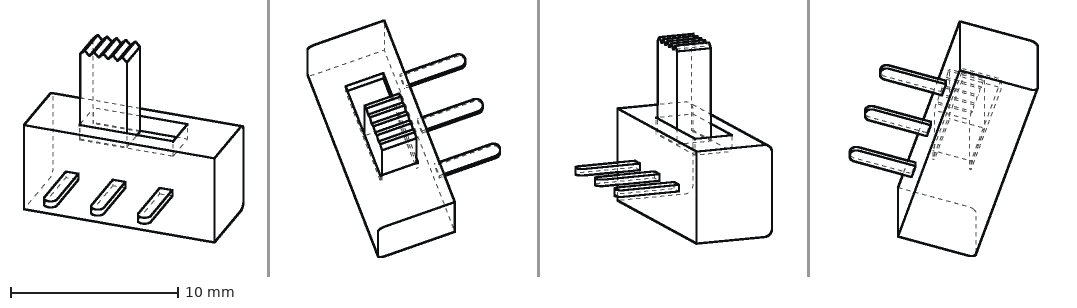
import cadquery as cq

body_length = 12.2
body_depth = 4.9
body_height = 5.66
rear_edge_radius = 0.5

window_length = 6.0
window_width = 2.4
window_depth = 1.0
slider_axis_y = 2.4

lever_length = window_length / 2
lever_width = 2.2
lever_rise = 5.0
tooth_count = 5
tooth_pitch = lever_length / tooth_count
tooth_height = tooth_pitch / 2

pin_count = 3
pin_pitch = lever_length
pin_length = 4.0
pin_width = 0.8
pin_thickness = 0.4


def make_housing():
    housing = cq.Workplane("XY").box(
        body_length, body_depth, body_height, centered=(True, False, False)
    )
    housing = housing.faces(">Y").edges("|X").fillet(rear_edge_radius)
    window = (
        cq.Workplane("XY", origin=(0, slider_axis_y, body_height - window_depth))
        .rect(window_length, window_width)
        .extrude(window_depth)
    )
    return housing.cut(window)


def make_lever():
    """Rectangular lever with a row of V-shaped grip teeth along its top."""
    left = -window_length / 2
    bottom = body_height - window_depth
    peak = body_height + lever_rise
    valley = peak - tooth_height

    outline = [(left, bottom), (left, valley)]
    for tooth in range(tooth_count):
        tooth_start = left + tooth * tooth_pitch
        outline.append((tooth_start + tooth_pitch / 2, peak))
        outline.append((tooth_start + tooth_pitch, valley))
    outline.append((left + lever_length, bottom))

    return (
        cq.Workplane("XZ", origin=(0, slider_axis_y + lever_width / 2, 0))
        .polyline(outline)
        .close()
        .extrude(lever_width)
    )


def make_pin(center_x):
    """Flat pin along -Y with a fully rounded tip."""
    half_width = pin_width / 2
    shoulder_y = half_width - pin_length
    return (
        cq.Workplane("XY", origin=(center_x, 0, (body_height - pin_thickness) / 2))
        .moveTo(-half_width, 0)
        .lineTo(-half_width, shoulder_y)
        .threePointArc((0, -pin_length), (half_width, shoulder_y))
        .lineTo(half_width, 0)
        .close()
        .extrude(pin_thickness)
    )


result = make_housing().union(make_lever())
for index in range(pin_count):
    pin_x = (index - (pin_count - 1) / 2) * pin_pitch
    result = result.union(make_pin(pin_x))